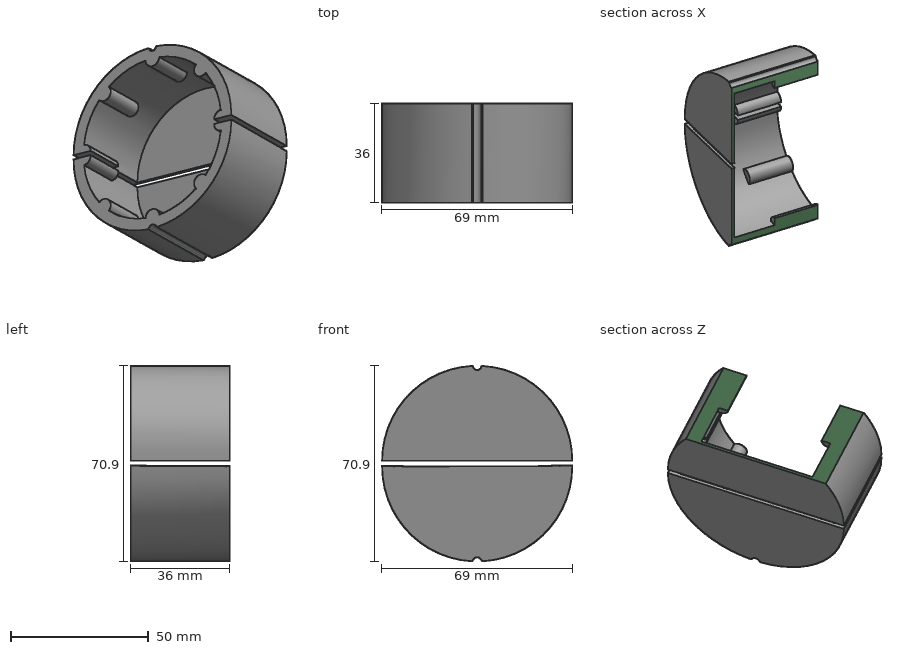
import cadquery as cq
import math

outer_radius = 34.5
cavity_radius = 30.0
length = 36.0
front_wall = 1.3
front_y = -length / 2
back_y = length / 2

rib_radius = 3.0
rib_count = 8
rib_start_y = 0.0

shell_spacing = 1.98
parting_rise_x = 0.16
parting_rise_y = 0.29
parting_centre_z = -1.83

groove_radius = 1.5
upper_groove_depth = 1.55
upper_lip_half_width = 2.0
upper_lip_drop = 0.15
lower_groove_depth = 1.5
lower_lip_half_width = 1.9
lower_lip_drop = 0.7

overshoot = 5.0


def bar_along_y(radius, start_y, end_y):
    """Round bar lying along the Y axis."""
    return cq.Workplane("XZ", origin=(0, start_y, 0)).circle(radius).extrude(start_y - end_y)


def make_cavity():
    """Round bore behind the front wall, less the ribs left standing along its side."""
    bore = bar_along_y(cavity_radius, front_y + front_wall, back_y)
    ribs = (
        cq.Workplane("XZ", origin=(0, rib_start_y, 0))
        .polarArray(cavity_radius, 0, 360, rib_count)
        .circle(rib_radius)
        .extrude(rib_start_y - back_y)
    )
    return bore.cut(ribs)


def groove_cutter(depth, lip_half_width, lip_drop):
    """Round-bottomed groove with sloping lips, along the crown on the +Z side of a shell."""
    centre_z = outer_radius - depth + groove_radius
    lip_top_z = math.sqrt(outer_radius**2 - lip_half_width**2)
    lip_foot_z = lip_top_z - lip_drop
    foot_half_width = math.sqrt(groove_radius**2 - (lip_foot_z - centre_z) ** 2)
    above_z = outer_radius + overshoot
    return (
        cq.Workplane("XZ", origin=(0, back_y, 0))
        .moveTo(-lip_half_width, above_z)
        .lineTo(-lip_half_width, lip_top_z)
        .lineTo(-foot_half_width, lip_foot_z)
        .threePointArc((0, outer_radius - depth), (foot_half_width, lip_foot_z))
        .lineTo(lip_half_width, lip_top_z)
        .lineTo(lip_half_width, above_z)
        .close()
        .extrude(length)
    )


def round_shell(groove):
    """Full round cup, closed at the front and open at the back, with one groove outside."""
    blank = bar_along_y(outer_radius, front_y, back_y)
    return blank.cut(make_cavity()).cut(groove)


def half_space_above():
    """Block filling everything above Z = 0 around the part."""
    side = 2 * (outer_radius + overshoot)
    return cq.Workplane("XY").box(side, side, side, centered=(True, True, False))


def make_upper_half():
    groove = groove_cutter(upper_groove_depth, upper_lip_half_width, upper_lip_drop)
    return round_shell(groove).intersect(half_space_above())


def make_lower_half():
    groove = groove_cutter(lower_groove_depth, lower_lip_half_width, lower_lip_drop)
    shell = round_shell(groove.mirror("XY")).translate((0, 0, -shell_spacing))
    removed = (
        half_space_above()
        .rotate((0, 0, 0), (0, 1, 0), -parting_rise_x)
        .rotate((0, 0, 0), (1, 0, 0), parting_rise_y)
        .translate((0, 0, parting_centre_z))
    )
    return shell.cut(removed)


upper_half = make_upper_half()
lower_half = make_lower_half()

result = cq.Compound.makeCompound([upper_half.val(), lower_half.val()])